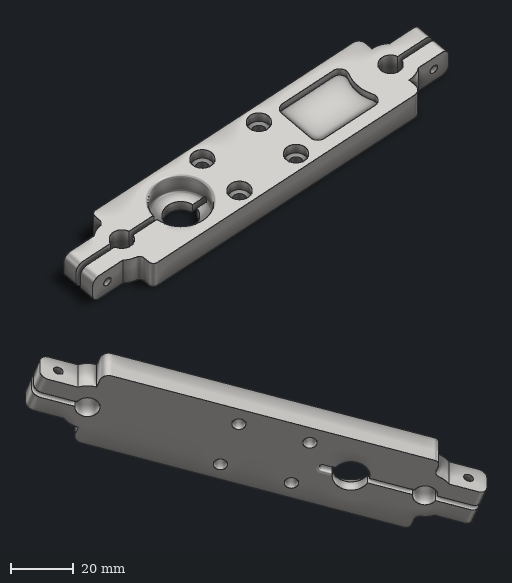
import cadquery as cq
import math

length = 151.0
width = 30.0
thickness = 11.0
top_z = thickness / 2

shoulder_y = 57.0
ear_half_width = 7.0
ear_round = 3.0
clamp_hole_diameter = 8.0
clamp_boss_radius = 9.0
slot_width = 2.0
ear_screw_diameter = 3.2
ear_screw_inset = 6.25

rear_corner_radius = 3.0
front_corner_radius = 2.0
front_neck_radius = 2.0

pocket_half_width = 10.0
pocket_front_y = 17.0
pocket_depth = 3.0
pocket_corner_radius = 3.0
pocket_arc_radius = 14.0

mount_hole_diameter = 4.5
mount_counterbore_diameter = 8.0
mount_counterbore_depth = 4.0
mount_spacing_x = 18.0
mount_spacing_y = 24.0
mount_center_y = -3.0

bore_y = -32.0
bore_radius = 10.5
bore_depth = 7.0
bore_floor_z = top_z - bore_depth
bore_rim_round = 1.0
bore_floor_round = 1.0
bore_through_radius = 6.0
slot_edge_round = 1.2
slot_end_corner_radius = 0.75

selection_margin = 0.1
diagonal = math.sqrt(0.5)


def on_circle(center_x, center_y, radius, angle):
    """Point on a circle at an angle in radians."""
    return (center_x + radius * math.cos(angle), center_y + radius * math.sin(angle))


def prism(profile, bottom, height):
    """Upright solid with its base at the given height."""
    return profile.extrude(height).translate((0, 0, bottom))


def make_body():
    """Main block between the shoulders, with rounded corners."""
    body = cq.Workplane("XY").box(width, 2 * shoulder_y, thickness)
    body = body.edges("|Z and >Y").fillet(rear_corner_radius)
    body = body.edges("|Z and <Y").fillet(front_corner_radius)
    return body


def make_ears():
    """Full-length bar forming both ears, plus round clamp bosses."""
    ears = cq.Workplane("XY").box(2 * ear_half_width, length, thickness)
    ears = ears.edges("|X").fillet(ear_round)
    for end in (-1, 1):
        boss = cq.Workplane("XY").center(0, end * shoulder_y).circle(clamp_boss_radius)
        ears = ears.union(prism(boss, -top_z, thickness))
    return ears


def make_front_neck(side):
    """Concave round between the front shoulder and the clamp boss."""
    reach = clamp_boss_radius + front_neck_radius
    center_x = math.sqrt(reach**2 - front_neck_radius**2)
    center_y = -shoulder_y - front_neck_radius
    lean = math.asin(front_neck_radius / reach)
    tangent_x, tangent_y = on_circle(0, -shoulder_y, clamp_boss_radius, -lean)
    mid_angle = (math.pi / 2 + math.pi - lean) / 2
    mid_x, mid_y = on_circle(center_x, center_y, front_neck_radius, mid_angle)
    profile = (
        cq.Workplane("XY")
        .moveTo(side * center_x, -shoulder_y)
        .threePointArc((side * mid_x, mid_y), (side * tangent_x, tangent_y))
        .lineTo(0, -shoulder_y)
        .close()
    )
    return prism(profile, -top_z, thickness)


def make_slot(start_y, end_y):
    """Full-height slot on the centre line between two Y positions."""
    slot = cq.Workplane("XY").box(slot_width, abs(end_y - start_y), thickness)
    return slot.translate((0, (start_y + end_y) / 2, 0))


def make_clamp_cuts():
    """Vertical clamp holes, end slots and cross screw holes."""
    cuts = make_slot(shoulder_y, length / 2).union(make_slot(bore_y, -length / 2))
    for end in (-1, 1):
        hole = cq.Workplane("XY").center(0, end * shoulder_y).circle(clamp_hole_diameter / 2)
        cuts = cuts.union(prism(hole, -top_z, thickness))
        screw_y = end * (length / 2 - ear_screw_inset)
        screw = cq.Workplane("YZ").center(screw_y, 0).circle(ear_screw_diameter / 2)
        cuts = cuts.union(screw.extrude(ear_half_width, both=True))
    return cuts


def make_pocket():
    """Pocket whose rear wall bows around the rear clamp hole."""
    reach = pocket_arc_radius + pocket_corner_radius
    corner_x = pocket_half_width - pocket_corner_radius
    corner_y = shoulder_y - math.sqrt(reach**2 - corner_x**2)
    lean = math.atan2(shoulder_y - corner_y, corner_x)
    tangent_x, tangent_y = on_circle(0, shoulder_y, pocket_arc_radius, -lean)
    mid_x, mid_y = on_circle(corner_x, corner_y, pocket_corner_radius, (math.pi - lean) / 2)
    profile = (
        cq.Workplane("XY")
        .moveTo(-pocket_half_width, pocket_front_y)
        .lineTo(pocket_half_width, pocket_front_y)
        .lineTo(pocket_half_width, corner_y)
        .threePointArc((mid_x, mid_y), (tangent_x, tangent_y))
        .threePointArc((0, shoulder_y - pocket_arc_radius), (-tangent_x, tangent_y))
        .threePointArc((-mid_x, mid_y), (-pocket_half_width, corner_y))
        .close()
    )
    pocket = prism(profile, top_z - pocket_depth, pocket_depth)
    return pocket.edges("|Z and <Y").fillet(pocket_corner_radius)


def cut_mount_holes(plate):
    """Grid of counterbored through holes."""
    return (
        plate.faces(">Z")
        .workplane(origin=(0, mount_center_y, top_z))
        .rarray(mount_spacing_x, mount_spacing_y, 2, 2)
        .cboreHole(mount_hole_diameter, mount_counterbore_diameter, mount_counterbore_depth)
    )


def make_bore():
    """Round recess with a rounded rim and floor, open at the top."""
    rim_radius = bore_radius + bore_rim_round
    profile = (
        cq.Workplane("XZ")
        .moveTo(0, bore_floor_z)
        .lineTo(bore_radius - bore_floor_round, bore_floor_z)
        .threePointArc(
            (
                bore_radius - bore_floor_round * (1 - diagonal),
                bore_floor_z + bore_floor_round * (1 - diagonal),
            ),
            (bore_radius, bore_floor_z + bore_floor_round),
        )
        .lineTo(bore_radius, top_z - bore_rim_round)
        .threePointArc(
            (rim_radius - bore_rim_round * diagonal, top_z - bore_rim_round * (1 - diagonal)),
            (rim_radius, top_z),
        )
        .lineTo(0, top_z)
        .close()
    )
    return profile.revolve(360, (0, 0, 0), (0, 1, 0)).translate((0, bore_y, 0))


def cut_floor_opening(plate):
    """Hole and rear slot through the bore floor, with the slot rounded along its bottom edge."""
    height = thickness - bore_depth + bore_floor_round
    hole = cq.Workplane("XY").center(0, bore_y).circle(bore_through_radius)
    slot = cq.Workplane("XY").center(0, bore_y + bore_radius / 2).rect(slot_width, bore_radius)
    slot = prism(slot, -top_z, height).edges("|Z and >Y").fillet(slot_end_corner_radius)
    opening = prism(hole, -top_z, height).union(slot)
    opened = plate.cut(opening)
    zone = cq.selectors.BoxSelector(
        (-slot_width, bore_y + bore_through_radius, -top_z - selection_margin),
        (slot_width, bore_y + bore_radius + selection_margin, -top_z + selection_margin),
    )
    return opened.edges(zone).fillet(slot_edge_round)


def make_slot_edge_rounds():
    """Rounded edges along the front slot where it crosses the bore floor."""
    slot_half = slot_width / 2
    outer = slot_half + slot_edge_round
    mid_x = outer - slot_edge_round * diagonal
    mid_z = bore_floor_z - slot_edge_round * (1 - diagonal)
    profile = (
        cq.Workplane("XZ", origin=(0, bore_y, 0))
        .moveTo(-outer, bore_floor_z)
        .threePointArc((-mid_x, mid_z), (-slot_half, bore_floor_z - slot_edge_round))
        .lineTo(slot_half, bore_floor_z - slot_edge_round)
        .threePointArc((mid_x, mid_z), (outer, bore_floor_z))
        .lineTo(outer, bore_floor_z + bore_floor_round)
        .lineTo(-outer, bore_floor_z + bore_floor_round)
        .close()
    )
    return profile.extrude(bore_radius)


plate = make_body().union(make_ears())
for side in (-1, 1):
    plate = plate.union(make_front_neck(side))
plate = cut_mount_holes(plate)
plate = plate.cut(make_pocket()).cut(make_bore())
plate = cut_floor_opening(plate)
result = plate.cut(make_clamp_cuts()).cut(make_slot_edge_rounds())